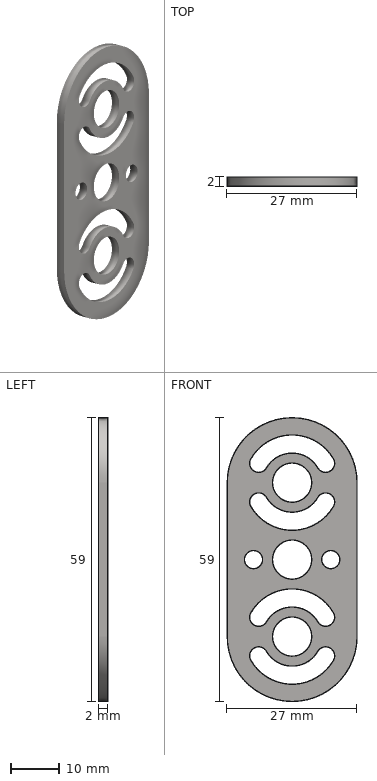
import cadquery as cq
import math

length = 59.0
width = 27.0
thickness = 2.0
end_radius = width / 2
pivot_offset = length / 2 - end_radius

bore_diameter = 8.1
slot_width = 3.7
slot_radius = 8.0
slot_end_angle = 30.0


def arc_slot(center_z, side):
    """Round-ended arc slot about (0, center_z); side is +1 for above, -1 for below."""
    outer = slot_radius + slot_width / 2
    inner = slot_radius - slot_width / 2
    angle = math.radians(slot_end_angle)

    def point(radius, x_sign):
        return (x_sign * radius * math.cos(angle), center_z + side * radius * math.sin(angle))

    def end_tip(x_sign):
        x, z = point(slot_radius, x_sign)
        return (
            x + x_sign * slot_width / 2 * math.sin(angle),
            z - side * slot_width / 2 * math.cos(angle),
        )

    return (
        cq.Workplane("XZ")
        .moveTo(*point(outer, 1))
        .threePointArc((0, center_z + side * outer), point(outer, -1))
        .threePointArc(end_tip(-1), point(inner, -1))
        .threePointArc((0, center_z + side * inner), point(inner, 1))
        .threePointArc(end_tip(1), point(outer, 1))
        .close()
        .extrude(thickness / 2, both=True)
    )


plate = cq.Workplane("XZ").slot2D(length, width, 90).extrude(thickness / 2, both=True)

bores = (
    cq.Workplane("XZ")
    .pushPoints([(0, -pivot_offset), (0, 0), (0, pivot_offset)])
    .circle(bore_diameter / 2)
    .extrude(thickness / 2, both=True)
)

side_holes = (
    cq.Workplane("XZ")
    .pushPoints([(-slot_radius, 0), (slot_radius, 0)])
    .circle(slot_width / 2)
    .extrude(thickness / 2, both=True)
)

result = plate.cut(bores).cut(side_holes)

for center_z in (-pivot_offset, pivot_offset):
    for side in (-1, 1):
        result = result.cut(arc_slot(center_z, side))